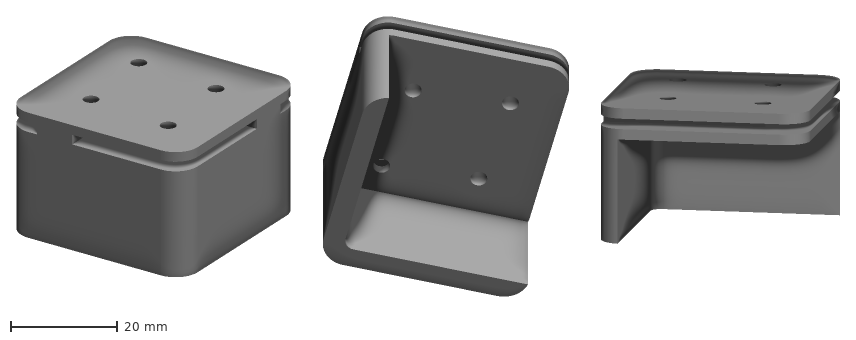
import cadquery as cq

side = 40.0
height = 26.0
corner_radius = 5.0

plate_thickness = 2.0
spacer_thickness = 2.0
spacer_top = height - plate_thickness
spacer_bottom = spacer_top - spacer_thickness
wall_height = spacer_bottom - plate_thickness

wall_thickness = 4.0
inner_corner_radius = 2.0

spacer_inset = 6.95
spacer_width = 8.0
spacer_chamfer = 2.0

hole_diameter = 3.2
outer_hole_offset = 10.0
inner_hole_offset = 8.5


def rounded_block(bottom, top):
    """Square block filling the outline between two heights."""
    block = cq.Workplane("XY").box(side, side, top - bottom, centered=False)
    return block.edges("|Z").fillet(corner_radius).translate((0, 0, bottom))


def make_lower_body():
    """Lower plate standing on two walls that meet in a filleted inner corner."""
    pocket_size = side - wall_thickness
    pocket = cq.Workplane("XY").box(pocket_size, pocket_size, wall_height, centered=False)
    pocket = pocket.translate((0, wall_thickness, 0))
    pocket = pocket.edges("|Z and >X and <Y").fillet(inner_corner_radius)
    return rounded_block(0, spacer_bottom).cut(pocket)


def make_spacer():
    """L-shaped layer set in from the -X and +Y sides, with a chamfered outer corner."""
    outer_size = side - spacer_inset
    inner_size = outer_size - spacer_width
    outer = cq.Workplane("XY").box(outer_size, outer_size, spacer_thickness, centered=False)
    outer = outer.translate((spacer_inset, 0, spacer_bottom))
    outer = outer.edges("|Z and <X and >Y").chamfer(spacer_chamfer)
    inner = cq.Workplane("XY").box(inner_size, inner_size, spacer_thickness, centered=False)
    inner = inner.translate((spacer_inset + spacer_width, 0, spacer_bottom))
    return outer.cut(inner).intersect(rounded_block(spacer_bottom, spacer_top))


def make_holes():
    """Screw holes through both plates and the spacer."""
    points = [
        (-outer_hole_offset, outer_hole_offset),
        (outer_hole_offset, -outer_hole_offset),
        (-inner_hole_offset, -inner_hole_offset),
        (inner_hole_offset, inner_hole_offset),
    ]
    holes = cq.Workplane("XY").pushPoints(points).circle(hole_diameter / 2).extrude(height)
    return holes.translate((side / 2, side / 2, 0))


top_plate = rounded_block(spacer_top, height)
result = make_lower_body().union(make_spacer()).union(top_plate).cut(make_holes()).clean()